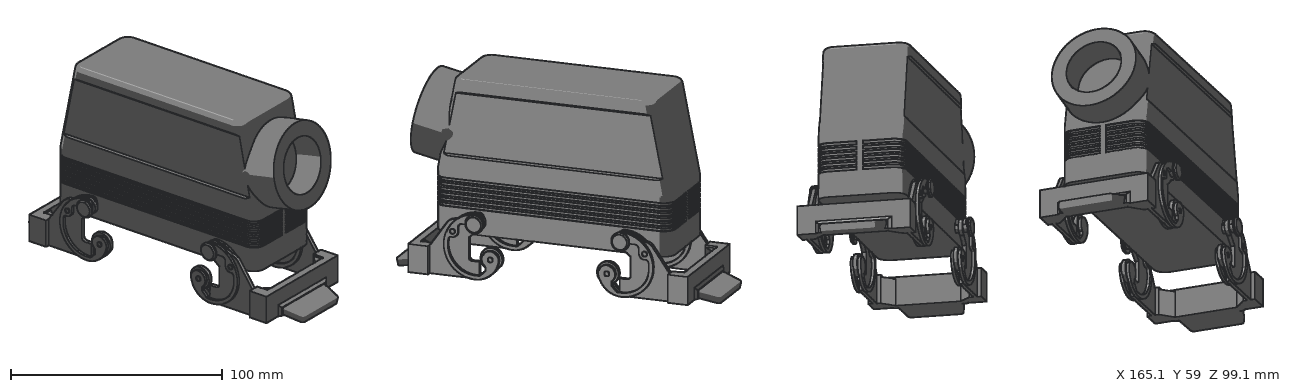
import cadquery as cq
import math

HOOD_LENGTH = 120.0
HOOD_WIDTH = 43.0
HOOD_HEIGHT = 76.3
SLOPE_START = 30.1
SLOPE_ANGLE = 11.3
SLOPE_BLEND = 9.0
CORNER_RADIUS = 6.0
TOP_RADIUS = 2.5

PANEL_DEPTH = 0.9
PANEL_BOTTOM = 38.5
PANEL_TOP = 69.8
PANEL_BEVEL = 0.9

GROOVE_COUNT = 6
GROOVE_PITCH = 2.5
GROOVE_HEIGHT = 1.5
GROOVE_DEPTH = 0.9
GROOVE_BOTTOM = 12.5
GROOVE_WEB = 3.0

COLLAR_DIAMETER = HOOD_WIDTH
COLLAR_LENGTH = 15.0
COLLAR_CENTRE_Z = 49.2
COLLAR_ROOT = 6.5
COLLAR_ROOT_TAPER = 9.3
BORE_DIAMETER = 28.0

PIN_X = -37.0
PIN_Z = 7.45
PIN_RADIUS = 2.5
PIN_HEAD_RADIUS = 4.5
PIN_HEAD_CHAMFER = 0.75
PIN_HEAD_THICKNESS = 1.5
OVERALL_WIDTH = 59.0

LEVER_BOTTOM = -20.4
HOOK_INNER_Y = 22.0
CHEEK_THICKNESS = 1.5
PLATE_THICKNESS = 2.0
PLATE_INNER_Y = HOOK_INNER_Y + CHEEK_THICKNESS
HOOK_THICKNESS = PLATE_THICKNESS + 2 * CHEEK_THICKNESS
HOOK_CENTRE_X = PIN_X
HOOK_OUTER_RADIUS = 16.0
HOOK_BAND = 2.0
HOOK_CENTRE_Z = LEVER_BOTTOM + HOOK_OUTER_RADIUS
HOOK_INNER_RADIUS = HOOK_OUTER_RADIUS - HOOK_BAND
HOOK_HEAD_Z = 6.45
HOOK_FILLET = 2.2
BOSS_FILLET = 1.5
PIN_EYE_RADIUS = 4.0

RIVET_X = -48.65
RIVET_Z = 2.15
RIVET_BOSS_RADIUS = 2.75
DIMPLE_RADIUS = 1.25
DIMPLE_DEPTH = 0.5

ROLLER_X = -29.5
ROLLER_Z = -9.8
ROLLER_RADIUS = 5.5
ROLLER_CHEEK_RADIUS = 4.25

BAR_OUTER_X = -70.8
BAR_INNER_X = -60.75
BAR_WEB = 4.0
BAR_HALF_WIDTH = 27.6
BAR_HEIGHT = 14.0
BAR_TOP = LEVER_BOTTOM + BAR_HEIGHT
ARM_INNER_Y = 21.6
GUSSET_WIDTH = 5.8
GUSSET_DROP = 1.0

SLOT_X = -41.0
SLOT_BOTTOM = -11.9
SLOT_FILLET = 1.9
PLATE_TIP_X = -35.5

OVERALL_LENGTH = 165.09
TAB_ANGLE = 14.0
TAB_THICKNESS = 4.1
TAB_END_HALF_WIDTH = 13.4
TAB_ROOT_HALF_WIDTH = 17.0
TAB_REACH = 14.0
TAB_CORNER_RADIUS = 2.0
TAB_EDGE_RADIUS = 0.8
TAB_TIP_Z = -19.0
FLARE_LENGTH = 1.1
FLARE_STEP = 1.6
FLARE_TOP = -14.4


def side_plane(distance):
    """Plane parallel to XZ, facing outwards at this distance on the -Y side."""
    return cq.Workplane("XZ", origin=(0, -distance, 0))


def side_disc(x, z, radius, distance, thickness):
    return side_plane(distance).center(x, z).circle(radius).extrude(thickness)


def side_block(x_min, x_max, z_min, z_max, distance, thickness):
    block = side_plane(distance).center((x_min + x_max) / 2, (z_min + z_max) / 2)
    return block.rect(x_max - x_min, z_max - z_min).extrude(thickness)


def both_sides(half, plane):
    return half.union(half.mirror(plane))


def hood_body():
    half_length = HOOD_LENGTH / 2
    top_half_length = half_length - (HOOD_HEIGHT - SLOPE_START) * math.tan(math.radians(SLOPE_ANGLE))
    profile = [
        (-half_length, 0),
        (half_length, 0),
        (half_length, SLOPE_START),
        (top_half_length, HOOD_HEIGHT),
        (-top_half_length, HOOD_HEIGHT),
        (-half_length, SLOPE_START),
    ]
    body = cq.Workplane("XZ").polyline(profile).close().extrude(HOOD_WIDTH / 2, both=True)
    bend = cq.selectors.BoxSelector(
        (-HOOD_LENGTH, -1, SLOPE_START - 1), (HOOD_LENGTH, 1, SLOPE_START + 1)
    )
    body = body.edges(bend).fillet(SLOPE_BLEND)
    body = body.faces("<Y or >Y").edges("not (<Z or >Z)").fillet(CORNER_RADIUS)
    return body.faces(">Z").edges().fillet(TOP_RADIUS)


def panel_cutter():
    floor_y = HOOD_WIDTH / 2 - PANEL_DEPTH
    rim_y = floor_y + PANEL_BEVEL
    outside_y = rim_y + PANEL_BEVEL
    section = [
        (-floor_y, PANEL_BOTTOM),
        (-floor_y, PANEL_TOP - PANEL_BEVEL),
        (-rim_y, PANEL_TOP),
        (-outside_y, PANEL_TOP),
        (-outside_y, PANEL_BOTTOM - PANEL_BEVEL),
        (-rim_y, PANEL_BOTTOM - PANEL_BEVEL),
    ]
    return cq.Workplane("YZ").polyline(section).close().extrude(HOOD_LENGTH / 2, both=True)


def groove_cutter():
    base = cq.Workplane("XY", origin=(0, 0, GROOVE_BOTTOM))
    outer = base.rect(HOOD_LENGTH + 2, HOOD_WIDTH + 2).extrude(GROOVE_HEIGHT)
    core = base.rect(HOOD_LENGTH - 2 * GROOVE_DEPTH, HOOD_WIDTH - 2 * GROOVE_DEPTH).extrude(GROOVE_HEIGHT)
    core = core.edges("|Z").fillet(CORNER_RADIUS - GROOVE_DEPTH)
    web = base.rect(HOOD_LENGTH + 2, GROOVE_WEB).extrude(GROOVE_HEIGHT)
    groove = outer.cut(core).cut(web)
    grooves = groove
    for index in range(1, GROOVE_COUNT):
        grooves = grooves.union(groove.translate((0, 0, index * GROOVE_PITCH)))
    return grooves


def collar_workplane():
    slope = math.radians(SLOPE_ANGLE)
    end_x = HOOD_LENGTH / 2 - (COLLAR_CENTRE_Z - SLOPE_START) * math.tan(slope)
    axis = (math.cos(slope), 0, math.sin(slope))
    return cq.Workplane(cq.Plane((end_x, 0, COLLAR_CENTRE_Z), (0, 1, 0), axis))


def collar():
    base = collar_workplane()
    tube = base.circle(COLLAR_DIAMETER / 2).extrude(COLLAR_LENGTH)
    root = base.circle(COLLAR_DIAMETER / 2).extrude(-COLLAR_ROOT, taper=COLLAR_ROOT_TAPER)
    return tube.union(root)


def bore():
    return collar_workplane().circle(BORE_DIAMETER / 2).extrude(COLLAR_LENGTH)


def hood():
    body = hood_body()
    body = body.cut(both_sides(panel_cutter(), "XZ"))
    body = body.cut(groove_cutter())
    return body.union(collar()).cut(bore())


def locking_pin():
    head_inner_y = OVERALL_WIDTH / 2 - PIN_HEAD_THICKNESS
    root_y = HOOD_WIDTH / 2 - 1
    neck = side_disc(PIN_X, PIN_Z, PIN_RADIUS, root_y, head_inner_y - root_y)
    head = side_disc(PIN_X, PIN_Z, PIN_HEAD_RADIUS, head_inner_y, PIN_HEAD_THICKNESS)
    head = head.faces("<Y").chamfer(PIN_HEAD_CHAMFER)
    return neck.union(head)


def hook_pocket():
    """Opening inside the hook band, stepping round the rivet boss."""
    boss_edge_x = RIVET_X + RIVET_BOSS_RADIUS
    left_x = HOOK_CENTRE_X - HOOK_INNER_RADIUS
    right_x = HOOK_CENTRE_X + HOOK_INNER_RADIUS
    layer = (HOOK_INNER_Y, HOOK_THICKNESS)
    upper = side_block(boss_edge_x, right_x, HOOK_CENTRE_Z, HOOK_HEAD_Z, *layer)
    upper = upper.edges("|Y and <X and >Z").fillet(HOOK_FILLET)
    lower = side_disc(HOOK_CENTRE_X, HOOK_CENTRE_Z, HOOK_INNER_RADIUS, *layer)
    lower = lower.cut(side_block(left_x, right_x, RIVET_Z, HOOK_CENTRE_Z + HOOK_INNER_RADIUS, *layer))
    pocket = lower.union(upper).cut(side_disc(RIVET_X, RIVET_Z, RIVET_BOSS_RADIUS, *layer))
    boss_corner = (left_x, -HOOK_INNER_Y - HOOK_THICKNESS / 2, RIVET_Z - RIVET_BOSS_RADIUS / 2)
    boss_corner = cq.selectors.NearestToPointSelector(boss_corner)
    return pocket.edges("|Y").edges(boss_corner).fillet(BOSS_FILLET)


def hook_tail():
    """Lower end of the hook, sweeping from the band's lowest point up to the roller."""
    run = ROLLER_X - HOOK_CENTRE_X
    rise = ROLLER_Z - LEVER_BOTTOM
    sweep = (run**2 + rise**2 - ROLLER_CHEEK_RADIUS**2) / (2 * (rise - ROLLER_CHEEK_RADIUS))
    sweep_z = LEVER_BOTTOM + sweep
    end_angle = math.atan2(ROLLER_Z - sweep_z, run)
    mid_angle = (end_angle - math.pi / 2) / 2

    def on_sweep(angle):
        return (HOOK_CENTRE_X + sweep * math.cos(angle), sweep_z + sweep * math.sin(angle))

    throat_start = (-32.9, -12.0)
    throat_middle = (-31.9, -13.6)
    throat_end = (-32.0, -15.4)
    throat_foot = (-34.9, LEVER_BOTTOM + HOOK_BAND)
    return (
        side_plane(HOOK_INNER_Y)
        .moveTo(HOOK_CENTRE_X, LEVER_BOTTOM)
        .threePointArc(on_sweep(mid_angle), on_sweep(end_angle))
        .lineTo(ROLLER_X, ROLLER_Z)
        .lineTo(*throat_start)
        .threePointArc(throat_middle, throat_end)
        .lineTo(*throat_foot)
        .lineTo(HOOK_CENTRE_X, LEVER_BOTTOM + HOOK_BAND)
        .close()
        .extrude(HOOK_THICKNESS)
    )


def hook():
    layer = (HOOK_INNER_Y, HOOK_THICKNESS)
    reach = HOOK_OUTER_RADIUS + 1
    band = side_disc(HOOK_CENTRE_X, HOOK_CENTRE_Z, HOOK_OUTER_RADIUS, *layer).cut(hook_pocket())
    left_half = side_block(
        HOOK_CENTRE_X - reach, HOOK_CENTRE_X, HOOK_CENTRE_Z - reach, HOOK_CENTRE_Z + reach, *layer
    )
    body = band.intersect(left_half)
    cap_radius = (HOOK_CENTRE_Z + HOOK_OUTER_RADIUS - HOOK_HEAD_Z) / 2
    body = body.union(side_disc(PIN_X, HOOK_HEAD_Z + cap_radius, cap_radius, *layer))
    body = body.union(hook_tail())
    body = body.union(side_disc(ROLLER_X, ROLLER_Z, ROLLER_CHEEK_RADIUS, *layer))
    gap = side_block(
        HOOK_CENTRE_X - reach, -HOOK_CENTRE_X, HOOK_CENTRE_Z - reach, HOOK_CENTRE_Z + reach,
        PLATE_INNER_Y, PLATE_THICKNESS,
    )
    body = body.cut(gap)
    dimple_y = HOOK_INNER_Y + HOOK_THICKNESS - DIMPLE_DEPTH
    for x, z in ((RIVET_X, RIVET_Z), (ROLLER_X, ROLLER_Z)):
        body = body.cut(side_disc(x, z, DIMPLE_RADIUS, dimple_y, DIMPLE_DEPTH))
    return body


def lever_plate():
    shoulder_start = (-52.4, 5.4)
    shoulder_middle = (-50.4, 7.2)
    shoulder_end = (-47.7, 7.9)
    eye_run = PIN_X - shoulder_end[0]
    eye_rise = PIN_Z - shoulder_end[1]
    eye_distance = math.hypot(eye_run, eye_rise)
    tangent_angle = math.atan2(eye_rise, eye_run) + math.pi - math.acos(PIN_EYE_RADIUS / eye_distance)
    eye_tangent = (
        PIN_X + PIN_EYE_RADIUS * math.cos(tangent_angle),
        PIN_Z + PIN_EYE_RADIUS * math.sin(tangent_angle),
    )
    plate = (
        side_plane(PLATE_INNER_Y)
        .moveTo(BAR_INNER_X - 1, LEVER_BOTTOM)
        .lineTo(PLATE_TIP_X, LEVER_BOTTOM)
        .lineTo(PLATE_TIP_X, SLOT_BOTTOM)
        .lineTo(SLOT_X, SLOT_BOTTOM)
        .lineTo(SLOT_X, -0.4)
        .lineTo(PIN_X + 0.4, 3.3)
        .lineTo(PIN_X, PIN_Z)
        .lineTo(*eye_tangent)
        .lineTo(*shoulder_end)
        .threePointArc(shoulder_middle, shoulder_start)
        .lineTo(BAR_INNER_X, BAR_TOP)
        .lineTo(BAR_INNER_X - 1, BAR_TOP)
        .close()
        .extrude(PLATE_THICKNESS)
    )
    slot_corner = cq.selectors.NearestToPointSelector((SLOT_X, -PLATE_INNER_Y, SLOT_BOTTOM))
    plate = plate.edges("|Y").edges(slot_corner).fillet(SLOT_FILLET)
    return plate.union(side_disc(PIN_X, PIN_Z, PIN_EYE_RADIUS, PLATE_INNER_Y, PLATE_THICKNESS))


def cross_bar():
    base = cq.Workplane("XY", origin=(0, 0, LEVER_BOTTOM))
    bar_depth = BAR_INNER_X - BAR_OUTER_X
    web_x = BAR_OUTER_X + BAR_WEB
    bar = base.center((BAR_OUTER_X + BAR_INNER_X) / 2, 0).rect(bar_depth, 2 * BAR_HALF_WIDTH)
    bar = bar.extrude(BAR_HEIGHT)
    opening = [
        (web_x, -ARM_INNER_Y),
        (BAR_INNER_X, -ARM_INNER_Y),
        (BAR_INNER_X, ARM_INNER_Y),
        (web_x, ARM_INNER_Y),
    ]
    bar = bar.cut(base.polyline(opening).close().extrude(BAR_HEIGHT))
    gusset = [
        (web_x, -ARM_INNER_Y),
        (BAR_INNER_X, -ARM_INNER_Y),
        (web_x, -ARM_INNER_Y + GUSSET_WIDTH),
    ]
    gusset = base.polyline(gusset).close().extrude(BAR_HEIGHT - GUSSET_DROP)
    return bar.union(both_sides(gusset, "XZ"))


def finger_tab():
    outline = [
        (0, -TAB_END_HALF_WIDTH),
        (TAB_REACH, -TAB_ROOT_HALF_WIDTH),
        (TAB_REACH, TAB_ROOT_HALF_WIDTH),
        (0, TAB_END_HALF_WIDTH),
    ]
    tab = cq.Workplane("XY").polyline(outline).close().extrude(-TAB_THICKNESS)
    tab = tab.edges("|Z and <X").fillet(TAB_CORNER_RADIUS)
    tab = tab.faces("<Z or >Z").edges("not >X").fillet(TAB_EDGE_RADIUS)
    tab = tab.rotate((0, 0, 0), (0, 1, 0), -TAB_ANGLE)
    tip_shift = -OVERALL_LENGTH / 2 - tab.val().BoundingBox().xmin
    tab = tab.translate((tip_shift, 0, TAB_TIP_Z))
    inside_bar = cq.Workplane("XY").box(2 * TAB_REACH, BAR_HALF_WIDTH * 2, BAR_HEIGHT * 4)
    return tab.cut(inside_bar.translate((BAR_OUTER_X + BAR_WEB / 2 + TAB_REACH, 0, 0)))


def tab_flare():
    """Bevelled pad where the tab meets the bar."""
    root_half_width = TAB_ROOT_HALF_WIDTH + FLARE_STEP
    root_height = FLARE_TOP - LEVER_BOTTOM
    tip_height = root_height - FLARE_STEP
    root = cq.Workplane("YZ", origin=(BAR_OUTER_X, 0, LEVER_BOTTOM + root_height / 2))
    pad = root.rect(2 * root_half_width, root_height)
    pad = pad.workplane(offset=-FLARE_LENGTH).center(0, (tip_height - root_height) / 2)
    return pad.rect(2 * TAB_ROOT_HALF_WIDTH, tip_height).loft(ruled=True)


def lever():
    roller = side_disc(ROLLER_X, ROLLER_Z, ROLLER_RADIUS, PLATE_INNER_Y, PLATE_THICKNESS)
    side = lever_plate().union(hook()).union(roller)
    return both_sides(side, "XZ").union(cross_bar()).union(tab_flare()).union(finger_tab())


pins = both_sides(locking_pin(), "XZ")
lever_with_pins = lever().union(pins)
result = hood().union(both_sides(lever_with_pins, "YZ"))